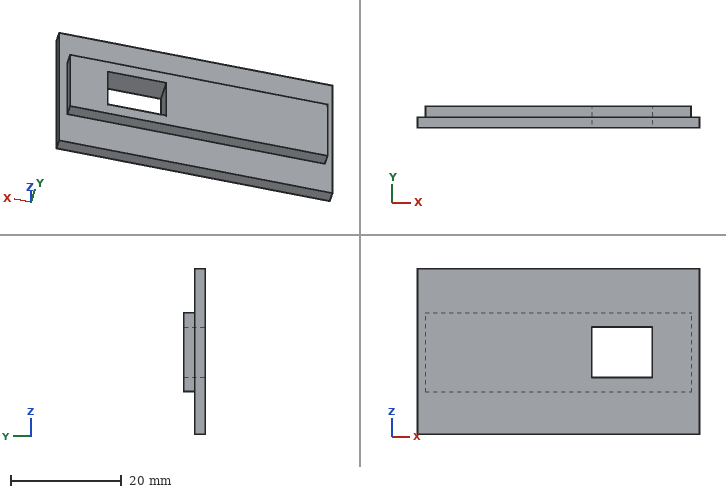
import cadquery as cq

plate_length = 51.0
plate_height = 30.0
plate_thickness = 2.0

pad_length = 48.05
pad_height = 14.3
pad_thickness = 2.0
pad_left = 1.45
pad_bottom = 7.75

window_length = 10.9
window_height = 9.1
window_left = 31.5
window_bottom = 10.3


def corner_box(length, depth, height, left, front, bottom):
    """Box placed by its left, front, bottom corner."""
    return cq.Workplane("XY").box(length, depth, height, centered=False).translate((left, front, bottom))


total_depth = plate_thickness + pad_thickness

plate = corner_box(plate_length, plate_thickness, plate_height, 0, 0, 0)
pad = corner_box(pad_length, pad_thickness, pad_height, pad_left, plate_thickness, pad_bottom)
window = corner_box(window_length, total_depth, window_height, window_left, 0, window_bottom)

result = plate.union(pad).cut(window)